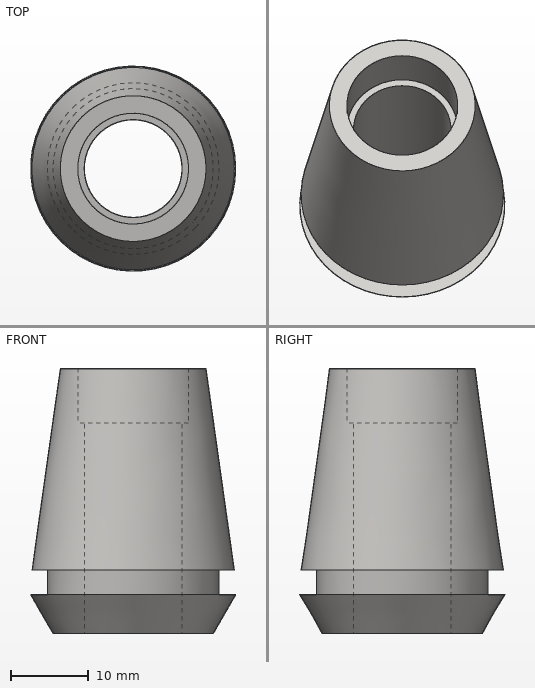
import cadquery as cq
import math

height = 34.0
flange_radius = 13.15

flange_height = 5.0
flange_angle = 30.0
flange_bottom_radius = flange_radius - flange_height * math.tan(math.radians(flange_angle))

groove_width = 3.15
groove_radius = 11.0
body_bottom = flange_height + groove_width

body_angle = 8.0
top_radius = 9.35
body_radius = top_radius + (height - body_bottom) * math.tan(math.radians(body_angle))

bore_radius = 6.25
counterbore_radius = 7.1
counterbore_depth = 7.0


def revolved_body():
    """Solid of revolution about Z, without the bore."""
    profile = (
        cq.Workplane("XZ")
        .moveTo(0, 0)
        .lineTo(flange_bottom_radius, 0)
        .lineTo(flange_radius, flange_height)
        .lineTo(groove_radius, flange_height)
        .lineTo(groove_radius, body_bottom)
        .lineTo(body_radius, body_bottom)
        .lineTo(top_radius, height)
        .lineTo(0, height)
        .close()
    )
    return profile.revolve(360, (0, 0, 0), (0, 1, 0))


def stepped_bore(body):
    """Cut the through bore and its wider upper end."""
    return (
        body.faces(">Z")
        .workplane()
        .cboreHole(2 * bore_radius, 2 * counterbore_radius, counterbore_depth)
    )


result = stepped_bore(revolved_body())